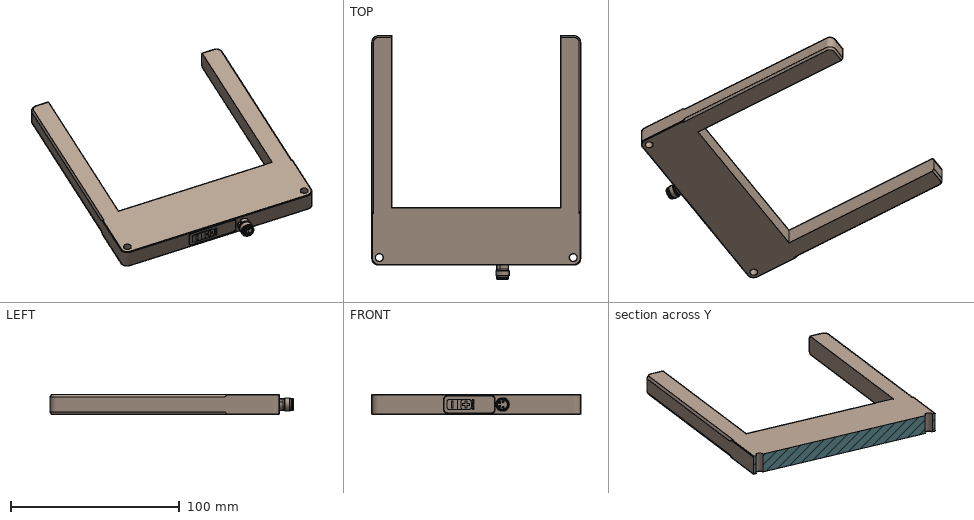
import cadquery as cq

width = 124.0
total_length = 144.5
height = 12.0
connector_length = 8.4
body_length = total_length - connector_length

arm_width = 12.0
bridge_length = 34.1
corner_radius = 4.0
edge_chamfer = 0.5
arm_chamfer_width = 1.0
arm_chamfer_drop = 1.6
taper_start = 30.6
taper_end = 32.5

hole_diameter = 4.5
hole_inset = 4.5

panel_x = -4.0
panel_width = 30.5
panel_height = 10.4
panel_radius = 2.0
panel_gap = 0.3
panel_gap_depth = 0.3

button_size = 6.0
button_spacing = 8.2
buttons_x = -10.1
button_radius = 1.5
button_drop = 0.1
window_depth = 0.3
window_width = button_spacing + button_size
symbol_length = 4.0
symbol_stroke = 1.2
symbol_depth = 0.07

light_diameter = 1.0
light_x = -1.9
light_pitch = 1.6
light_count = 4
light_depth = 0.1

connector_x = 15.6
neck_diameter = 7.2
groove_diameter = 7.0
collar_diameter = 8.0
tip_diameter = 6.4
socket_diameter = 5.8
neck_length = 2.2
notch_offset = 1.6
collar_start = 3.0
collar_length = 3.3
collar_bevel = (collar_diameter - neck_diameter) / 2
tip_groove_length = 0.9
tip_bevel = 0.6
socket_depth = 4.3
pin_diameter = 1.0
pin_length = 3.6
pin_places = [(-1.6, 1.2), (-1.6, -1.2), (0.3, 1.7), (0.3, -1.7)]


def plate(chamfer_drop, chamfer_width):
    """Rounded rectangular plate with both outer rims bevelled."""
    blank = (
        cq.Workplane("XY")
        .box(width, body_length, height)
        .translate((0, body_length / 2, 0))
        .edges("|Z")
        .fillet(corner_radius)
    )
    return blank.faces("<Z or >Z").edges().chamfer(chamfer_drop, chamfer_width)


def arm_zone():
    """Space around the arms, its front end sloped where the wide chamfer runs out."""
    half_height = height / 2
    full_drop = half_height - arm_chamfer_drop
    return (
        cq.Workplane("YZ")
        .polyline([
            (taper_start, half_height),
            (taper_end, full_drop),
            (taper_end, -full_drop),
            (taper_start, -half_height),
            (total_length, -half_height),
            (total_length, half_height),
        ])
        .close()
        .extrude(width / 2, both=True)
    )


def front_block(x, block_width, block_height, radius, start, depth):
    """Block with rounded corners that runs from Y = start to Y = start + depth."""
    block = (
        cq.Workplane("XY")
        .box(block_width, depth, block_height)
        .translate((x, start + depth / 2, 0))
    )
    return block.edges("|Y").fillet(radius) if radius else block


def make_fork():
    zone = arm_zone()
    bridge = plate(edge_chamfer, edge_chamfer).cut(zone)
    arms = plate(arm_chamfer_drop, arm_chamfer_width).intersect(zone)
    opening_length = body_length - bridge_length
    opening = (
        cq.Workplane("XY")
        .box(width - 2 * arm_width, opening_length, height)
        .translate((0, bridge_length + opening_length / 2, 0))
    )
    hole_x = width / 2 - hole_inset
    holes = (
        cq.Workplane("XY")
        .pushPoints([(-hole_x, hole_inset), (hole_x, hole_inset)])
        .circle(hole_diameter / 2)
        .extrude(height, both=True)
    )
    return bridge.union(arms).cut(opening).cut(holes)


def add_panel(body):
    """Narrow gap around the panel, sunken buttons and a row of lights."""
    outer = front_block(panel_x, panel_width, panel_height, panel_radius, 0, panel_gap_depth)
    inner = front_block(
        panel_x,
        panel_width - 2 * panel_gap,
        panel_height - 2 * panel_gap,
        panel_radius - panel_gap,
        0,
        panel_gap_depth,
    )
    window = front_block(buttons_x, window_width, button_size, button_radius, 0, window_depth)
    body = body.cut(outer.cut(inner)).cut(window)

    minus_x = buttons_x - button_spacing / 2
    plus_x = buttons_x + button_spacing / 2
    button_height = window_depth - button_drop
    plus_button = front_block(plus_x, button_size, button_size, button_radius, button_drop, button_height)
    minus_button = front_block(minus_x, button_size, button_size, 0, button_drop, button_height)
    body = body.union(plus_button).union(minus_button.intersect(window))

    upright = (symbol_stroke, symbol_length)
    level = (symbol_length, symbol_stroke)
    for x, (bar_width, bar_height) in [(minus_x, upright), (plus_x, upright), (plus_x, level)]:
        body = body.cut(front_block(x, bar_width, bar_height, 0, button_drop, symbol_depth))

    lights = (
        cq.Workplane("XZ")
        .center(light_x, 0)
        .rarray(light_pitch, light_pitch, 1, light_count)
        .circle(light_diameter / 2)
        .extrude(-light_depth)
    )
    return body.cut(lights)


def make_connector():
    """Turned plug body with a notched neck, a socket and pins, along -Y from the front face."""
    collar_end = collar_start + collar_length
    groove_end = collar_end + tip_groove_length
    neck = neck_diameter / 2
    groove = groove_diameter / 2
    collar = collar_diameter / 2
    socket = socket_diameter / 2
    socket_floor = connector_length - socket_depth
    profile = [
        (0, 0),
        (neck, 0),
        (neck, -neck_length),
        (groove, -neck_length),
        (groove, -collar_start),
        (neck, -collar_start),
        (collar, -collar_start - collar_bevel),
        (collar, -collar_end + collar_bevel),
        (neck, -collar_end),
        (groove, -collar_end),
        (groove, -groove_end),
        (neck, -groove_end),
        (neck, -connector_length + tip_bevel),
        (tip_diameter / 2, -connector_length),
        (socket, -connector_length),
        (socket, -socket_floor),
        (0, -socket_floor),
    ]
    shell = cq.Workplane("XY").polyline(profile).close().revolve(360, (0, 0), (0, 1))
    notch_size = neck - notch_offset
    notch = (
        cq.Workplane("XY")
        .box(notch_size, neck_length, notch_size)
        .translate((-notch_offset - notch_size / 2, -neck_length / 2, notch_offset + notch_size / 2))
    )
    pins = (
        cq.Workplane("XZ", origin=(0, -socket_floor, 0))
        .pushPoints(pin_places)
        .circle(pin_diameter / 2)
        .extrude(pin_length)
    )
    return shell.cut(notch).union(pins).translate((connector_x, 0, 0))


result = add_panel(make_fork()).union(make_connector())